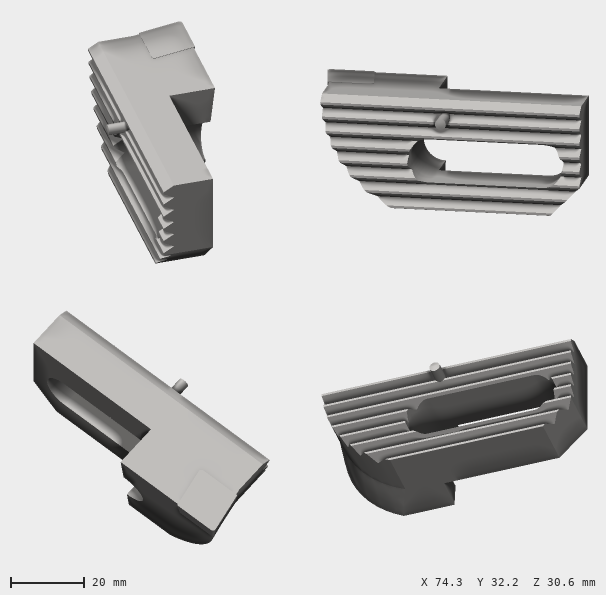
import cadquery as cq
import math


LENGTH = 74.3
HEIGHT = 30.5
ARM_DEPTH = 14.0
HEAD_DEPTH = 26.9
HEAD_END = 33.0
HEAD_BACK_ANGLE = 6.6
CORNER_CHAMFER = 8.0

NOSE_RADIUS = 33.4
NOSE_AXIS_X = 36.25
CONE_START = 12.85
CONE_ANGLE = 10.0

TOOTH_PITCH = 4.0
TOOTH_DEPTH = 2.9
TOOTH_HALF_ANGLE = 30.0

SLOT_WIDTH = 12.2
SLOT_LENGTH = 42.7
SLOT_X = 48.15
SLOT_Z = 13.5

PEG_DIAMETER = 3.0
PEG_X = 36.85
PEG_Z = 25.5
PEG_REACH = 4.7
PEG_DOME = 0.2

INSERT_WIDTH = 12.7
INSERT_THICKNESS = 4.75
INSERT_TOP = 30.6
INSERT_X = 7.4
INSERT_BACK = 27.35
INSERT_Y = INSERT_BACK - INSERT_WIDTH / 2
INSERT_NOSE_ANGLE = 80.0
INSERT_CLEARANCE = 7.0
INSERT_CORNER_RADIUS = 0.8

SCREW_HEAD_DIAMETER = 7.3
SCREW_DIAMETER = 5.5
SCREW_HEAD_HEIGHT = 2.2

MARGIN = 3.7


def tangent(degrees):
    return math.tan(math.radians(degrees))


def make_plan():
    """L-shaped plan of arm and head, over the full height."""
    return (
        cq.Workplane("XY")
        .polyline([
            (-MARGIN, 0),
            (LENGTH, 0),
            (LENGTH, ARM_DEPTH),
            (HEAD_END, ARM_DEPTH),
            (HEAD_END, HEAD_DEPTH),
            (-MARGIN, HEAD_DEPTH),
        ])
        .close()
        .extrude(HEIGHT)
    )


def make_nose_envelope():
    """Solid of revolution that rounds the nose, plus a block keeping the far end."""
    depth = HEAD_DEPTH + MARGIN
    cone_radius = NOSE_RADIUS + (depth - CONE_START) * tangent(CONE_ANGLE)
    turned = (
        cq.Workplane("XY")
        .polyline([
            (0, -MARGIN),
            (NOSE_RADIUS, -MARGIN),
            (NOSE_RADIUS, CONE_START),
            (cone_radius, depth),
            (0, depth),
        ])
        .close()
        .revolve(360, (0, 0), (0, 1))
        .translate((NOSE_AXIS_X, 0, HEIGHT))
    )
    far_end = (
        cq.Workplane("XY")
        .box(LENGTH - NOSE_AXIS_X, depth + MARGIN, HEIGHT, centered=False)
        .translate((NOSE_AXIS_X, -MARGIN, 0))
    )
    return turned.union(far_end)


def make_side_envelope():
    """Serrated front and leaning back, extruded along the length."""
    flank = TOOTH_DEPTH * tangent(TOOTH_HALF_ANGLE)
    points = [(HEAD_DEPTH, HEIGHT)]
    for tooth in range(math.ceil(HEIGHT / TOOTH_PITCH)):
        root = HEIGHT - tooth * TOOTH_PITCH
        points += [
            (TOOTH_DEPTH, root),
            (0, root - flank),
            (0, root - TOOTH_PITCH + flank),
        ]
    back_bottom = HEAD_DEPTH - (HEIGHT + MARGIN) * tangent(HEAD_BACK_ANGLE)
    points += [(TOOTH_DEPTH, -MARGIN), (back_bottom, -MARGIN)]
    return (
        cq.Workplane("YZ")
        .workplane(offset=-MARGIN)
        .polyline(points)
        .close()
        .extrude(LENGTH + 2 * MARGIN)
    )


def make_corner_cutter():
    return (
        cq.Workplane("XZ")
        .polyline([(LENGTH - CORNER_CHAMFER, 0), (LENGTH, 0), (LENGTH, CORNER_CHAMFER)])
        .close()
        .extrude(-HEAD_DEPTH)
    )


def make_slot_cutter():
    return (
        cq.Workplane("XZ")
        .center(SLOT_X, SLOT_Z)
        .slot2D(SLOT_LENGTH, SLOT_WIDTH)
        .extrude(-HEAD_DEPTH)
    )


def make_peg():
    """Domed peg, rooted in the serrations."""
    dome_radius = ((PEG_DIAMETER / 2) ** 2 + PEG_DOME ** 2) / (2 * PEG_DOME)
    dome_mid_x = PEG_DIAMETER / 4
    dome_center_y = dome_radius - PEG_REACH - PEG_DOME
    dome_mid_y = dome_center_y - math.sqrt(dome_radius ** 2 - dome_mid_x ** 2)
    return (
        cq.Workplane("XY")
        .moveTo(0, TOOTH_DEPTH)
        .lineTo(PEG_DIAMETER / 2, TOOTH_DEPTH)
        .lineTo(PEG_DIAMETER / 2, -PEG_REACH)
        .threePointArc((dome_mid_x, dome_mid_y), (0, -PEG_REACH - PEG_DOME))
        .close()
        .revolve(360, (0, 0), (0, 1))
        .translate((PEG_X, 0, PEG_Z))
    )


def make_insert_blank():
    """Rhombic insert, tapering downward by the clearance angle."""
    side = INSERT_WIDTH / math.sin(math.radians(INSERT_NOSE_ANGLE))
    half_lean = INSERT_WIDTH / tangent(INSERT_NOSE_ANGLE) / 2
    half_side = side / 2
    half_width = INSERT_WIDTH / 2
    outline = (
        cq.Sketch()
        .polygon([
            (-half_side - half_lean, half_width),
            (half_side - half_lean, half_width),
            (half_side + half_lean, -half_width),
            (-half_side + half_lean, -half_width),
            (-half_side - half_lean, half_width),
        ])
        .vertices("<X or >X")
        .fillet(INSERT_CORNER_RADIUS)
    )
    return (
        cq.Workplane("XY")
        .placeSketch(outline)
        .extrude(-INSERT_THICKNESS, taper=INSERT_CLEARANCE)
        .translate((INSERT_X, INSERT_Y, INSERT_TOP))
    )


def make_screw():
    """Countersunk screw, flush with the top and bottom of the insert."""
    return (
        cq.Workplane("XZ")
        .polyline([
            (0, 0),
            (SCREW_HEAD_DIAMETER / 2, 0),
            (SCREW_DIAMETER / 2, -SCREW_HEAD_HEIGHT),
            (SCREW_DIAMETER / 2, -INSERT_THICKNESS),
            (0, -INSERT_THICKNESS),
        ])
        .close()
        .revolve(360, (0, 0), (0, 1))
        .translate((INSERT_X, INSERT_Y, INSERT_TOP))
    )


def make_holder(insert_blank):
    """Serrated holder with its peg and the pocket for the insert."""
    return (
        make_plan()
        .intersect(make_nose_envelope())
        .intersect(make_side_envelope())
        .cut(make_corner_cutter())
        .cut(make_slot_cutter())
        .union(make_peg())
        .cut(insert_blank)
    )


insert_blank = make_insert_blank()
screw = make_screw()
insert = insert_blank.cut(screw)
holder = make_holder(insert_blank)

result = cq.Compound.makeCompound([
    holder.solids().val(),
    insert.solids().val(),
    screw.solids().val(),
])